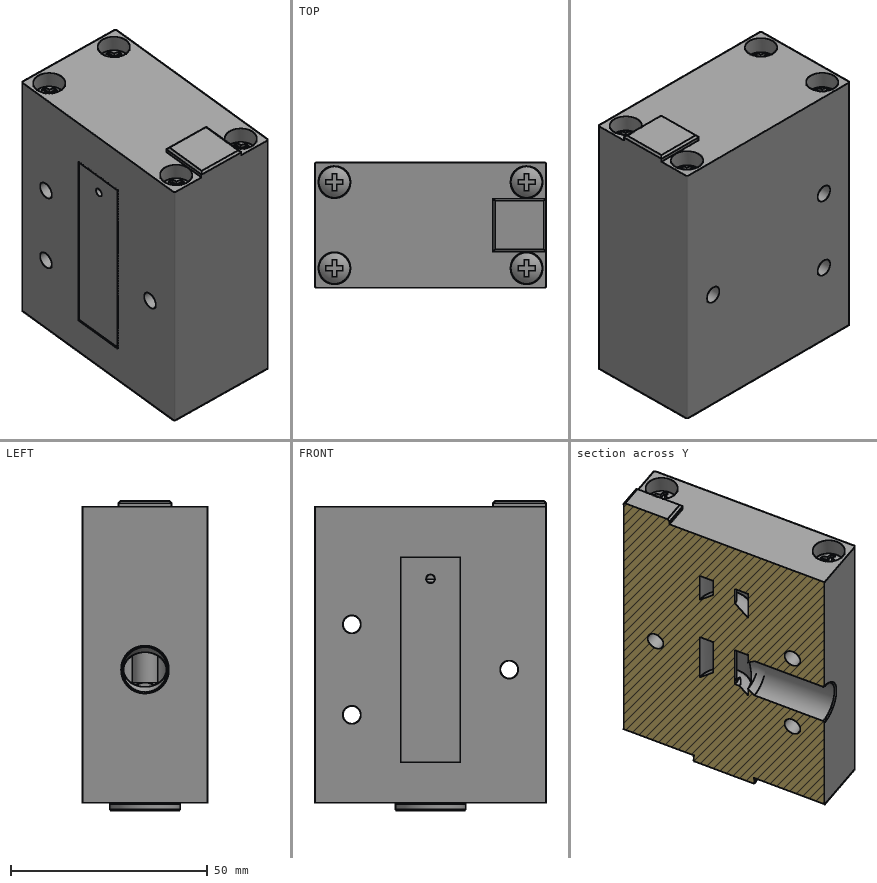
import cadquery as cq

BODY_WIDTH = 59.0
BODY_DEPTH = 32.0
TOTAL_HEIGHT = 79.0
PAD_HEIGHT = 1.5
PLUG_HEIGHT = 2.0
BODY_HEIGHT = TOTAL_HEIGHT - PAD_HEIGHT - PLUG_HEIGHT
EDGE_RADIUS = 0.5

PAD_SIZE = 13.6
PAD_CHAMFER = 0.59

PLUG_DIAMETER = 18.0
PLUG_CHAMFER = 0.3

SCREW_X = 24.5
SCREW_Y = 11.0
COUNTERBORE_DIAMETER = 8.2
COUNTERBORE_DEPTH = 5.5
HEAD_DIAMETER = 8.0
HEAD_RIM_HEIGHT = 1.2
HEAD_HEIGHT = 2.8
CROSS_LENGTH = 4.35
CROSS_WIDTH = 1.2
CROSS_DEPTH = 1.2

MOUNTING_DIAMETER = 4.5
MOUNTING_SPREAD_X = 20.1
LEFT_HOLE_HIGH_Z = 45.5
LEFT_HOLE_LOW_Z = 22.4
RIGHT_HOLE_Z = (LEFT_HOLE_HIGH_Z + LEFT_HOLE_LOW_Z) / 2
MOUNTING_HOLES = [
    (-MOUNTING_SPREAD_X, LEFT_HOLE_HIGH_Z),
    (-MOUNTING_SPREAD_X, LEFT_HOLE_LOW_Z),
    (MOUNTING_SPREAD_X, RIGHT_HOLE_Z),
]

LABEL_WIDTH = 15.1
LABEL_HEIGHT = 52.3
LABEL_BOTTOM_Z = 10.35
LABEL_DEPTH = 0.3
VENT_DIAMETER = 2.2
VENT_Z = 57.1
VENT_DEPTH = 11.85

PORT_Z = RIGHT_HOLE_Z
PORT_DIAMETER = 11.45
PORT_CHAMFER = 0.4
NECK_LENGTH = 2.0
THROAT_WIDTH = 10.9
THROAT_HEIGHT = 8.85

SPOOL_DIAMETER = 6.55
CHAMBER_DIAMETER = 14.0
CHAMBER_FLOOR_DROP = 3.15
PORT_CHAMBER_FLOOR_Z = 30.65
PORT_CHAMBER_HEIGHT = 10.3
VENT_CHAMBER_FLOOR_Z = 56.95
VENT_CHAMBER_HEIGHT = 4.75


def make_body():
    block = cq.Workplane("XY").box(BODY_WIDTH, BODY_DEPTH, BODY_HEIGHT, centered=(True, True, False))
    return block.edges("|Z").fillet(EDGE_RADIUS)


def make_pad():
    pad = (
        cq.Workplane("XY", origin=((BODY_WIDTH - PAD_SIZE) / 2, 0, BODY_HEIGHT))
        .rect(PAD_SIZE, PAD_SIZE)
        .extrude(PAD_HEIGHT)
    )
    return pad.faces(">Z").edges().chamfer(PAD_CHAMFER)


def make_plug():
    plug = cq.Workplane("XY").circle(PLUG_DIAMETER / 2).extrude(-PLUG_HEIGHT)
    return plug.edges().chamfer(PLUG_CHAMFER)


def make_screw_head():
    """Domed head with a cross recess, standing on Z = 0."""
    radius = HEAD_DIAMETER / 2
    dome_height = HEAD_HEIGHT - HEAD_RIM_HEIGHT
    sphere_radius = (radius**2 + dome_height**2) / (2 * dome_height)
    head = cq.Workplane("XY").circle(radius).extrude(HEAD_HEIGHT)
    sphere_centre_z = HEAD_HEIGHT - sphere_radius
    head = head.intersect(cq.Workplane("XY", origin=(0, 0, sphere_centre_z)).sphere(sphere_radius))
    recess_plane = cq.Workplane("XY", origin=(0, 0, HEAD_HEIGHT - CROSS_DEPTH))
    for size in [(CROSS_LENGTH, CROSS_WIDTH), (CROSS_WIDTH, CROSS_LENGTH)]:
        head = head.cut(recess_plane.rect(*size).extrude(CROSS_DEPTH))
    return head


def add_screws(body):
    seat_z = BODY_HEIGHT - COUNTERBORE_DEPTH
    centres = [(x, y) for x in (-SCREW_X, SCREW_X) for y in (-SCREW_Y, SCREW_Y)]
    pockets = (
        cq.Workplane("XY", origin=(0, 0, seat_z))
        .pushPoints(centres)
        .circle(COUNTERBORE_DIAMETER / 2)
        .extrude(COUNTERBORE_DEPTH)
    )
    body = body.cut(pockets)
    head = make_screw_head()
    for x, y in centres:
        body = body.union(head.translate((x, y, seat_z)))
    return body


def front_plane(depth):
    """XZ plane whose extrusions run from the given depth out through the front face."""
    return cq.Workplane("XZ", origin=(0, depth - BODY_DEPTH / 2, 0))


def cut_front_features(body):
    holes = front_plane(BODY_DEPTH).pushPoints(MOUNTING_HOLES).circle(MOUNTING_DIAMETER / 2)
    label_z = LABEL_BOTTOM_Z + LABEL_HEIGHT / 2
    label = front_plane(LABEL_DEPTH).center(0, label_z).rect(LABEL_WIDTH, LABEL_HEIGHT)
    vent = front_plane(VENT_DEPTH).center(0, VENT_Z).circle(VENT_DIAMETER / 2)
    body = body.cut(holes.extrude(BODY_DEPTH))
    body = body.cut(label.extrude(LABEL_DEPTH))
    return body.cut(vent.extrude(VENT_DEPTH))


def make_ring_chamber(floor_z, height):
    """Ring around the spool; floor_z is where the sloping floor meets the spool."""
    inner = SPOOL_DIAMETER / 2
    outer = CHAMBER_DIAMETER / 2
    ceiling_z = floor_z + height
    profile = [(inner, floor_z), (outer, floor_z - CHAMBER_FLOOR_DROP), (outer, ceiling_z), (inner, ceiling_z)]
    return cq.Workplane("XZ").polyline(profile).close().revolve(360, (0, 0), (0, 1))


def cut_port(body):
    mouth_x = -BODY_WIDTH / 2
    throat_x = -CHAMBER_DIAMETER / 2
    neck_x = throat_x - NECK_LENGTH
    port_radius = PORT_DIAMETER / 2
    bore = cq.Workplane("YZ", origin=(mouth_x, 0, PORT_Z)).circle(port_radius).extrude(neck_x - mouth_x)
    mouth = (
        cq.Workplane("YZ", origin=(mouth_x, 0, PORT_Z))
        .circle(port_radius + PORT_CHAMFER)
        .workplane(offset=PORT_CHAMFER)
        .circle(port_radius)
        .loft()
    )
    neck = (
        cq.Workplane("YZ", origin=(neck_x, 0, PORT_Z))
        .ellipse(port_radius, port_radius)
        .workplane(offset=NECK_LENGTH)
        .ellipse(THROAT_WIDTH / 2, THROAT_HEIGHT / 2)
        .loft()
    )
    throat = (
        cq.Workplane("YZ", origin=(throat_x, 0, PORT_Z))
        .ellipse(THROAT_WIDTH / 2, THROAT_HEIGHT / 2)
        .extrude((CHAMBER_DIAMETER - SPOOL_DIAMETER) / 2)
    )
    return body.cut(bore).cut(mouth).cut(neck).cut(throat)


def cut_chambers(body):
    body = body.cut(make_ring_chamber(PORT_CHAMBER_FLOOR_Z, PORT_CHAMBER_HEIGHT))
    return body.cut(make_ring_chamber(VENT_CHAMBER_FLOOR_Z, VENT_CHAMBER_HEIGHT))


body = make_body()
body = add_screws(body)
body = cut_front_features(body)
body = cut_port(body)
body = cut_chambers(body)
result = body.union(make_pad()).union(make_plug())